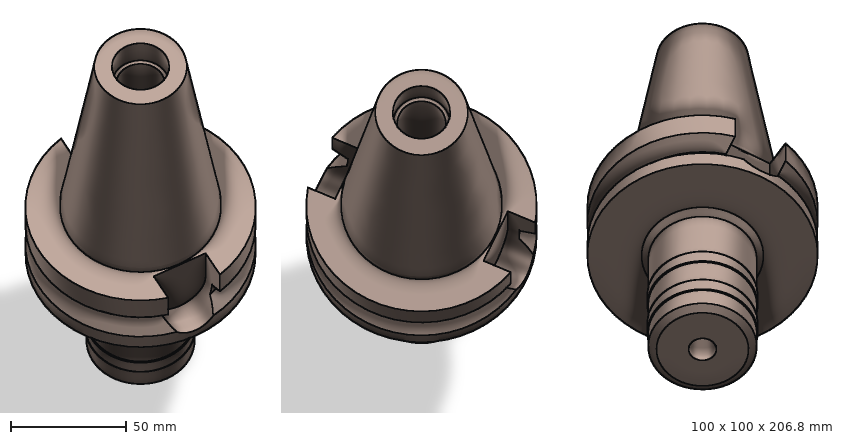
import cadquery as cq
import math

total_height = 206.8
flange_bottom = 67.0
flange_top = 102.0
gauge_height = 105.0

gauge_radius = 35.0
taper_ratio = 7 / 24
taper_top_radius = gauge_radius - (total_height - gauge_height) * taper_ratio / 2

flange_radius = 50.0
groove_radius = 42.8
groove_bottom = 79.0
groove_top = 85.2
groove_flank_height = (flange_radius - groove_radius) * math.tan(math.radians(30))

shank_radius = 23.5
neck_cone_size = 2.9
end_chamfer_height = 2.0
end_chamfer_width = end_chamfer_height / math.tan(math.radians(30))

band_radius = 24.0
band_height = 7.7
band_bottoms = (11.4, 31.5)
band_chamfer = band_radius - shank_radius

slot_width = 25.6
slot_floor = 35.4
slot_lowest = 71.1

counterbore_radius = 12.5
counterbore_depth = 12.8
pull_stud_radius = 10.5
pull_stud_depth = 62.0
through_radius = 6.0


def make_body():
    """Revolve the taper, flange and plain shank about Z."""
    return (
        cq.Workplane("XZ")
        .moveTo(0, 0)
        .lineTo(shank_radius - end_chamfer_width, 0)
        .lineTo(shank_radius, end_chamfer_height)
        .lineTo(shank_radius, flange_bottom - neck_cone_size)
        .lineTo(shank_radius + neck_cone_size, flange_bottom)
        .lineTo(flange_radius, flange_bottom)
        .lineTo(flange_radius, groove_bottom - groove_flank_height)
        .lineTo(groove_radius, groove_bottom)
        .lineTo(groove_radius, groove_top)
        .lineTo(flange_radius, groove_top + groove_flank_height)
        .lineTo(flange_radius, flange_top)
        .lineTo(gauge_radius, flange_top)
        .lineTo(gauge_radius, gauge_height)
        .lineTo(taper_top_radius, total_height)
        .lineTo(0, total_height)
        .close()
        .revolve(360, (0, 0), (0, 1))
    )


def make_band(bottom):
    """Raised shank band with chamfered rims."""
    return (
        cq.Workplane("XY", origin=(0, 0, bottom))
        .circle(band_radius)
        .extrude(band_height)
        .edges()
        .chamfer(band_chamfer)
    )


def make_slot(side):
    """Round-bottomed drive slot cutter, open at the flange top; side is +1 or -1."""
    half_width = slot_width / 2
    arc_center = slot_lowest + half_width
    return (
        cq.Workplane("YZ", origin=(side * slot_floor, 0, 0))
        .moveTo(-half_width, flange_top)
        .lineTo(-half_width, arc_center)
        .threePointArc((0, slot_lowest), (half_width, arc_center))
        .lineTo(half_width, flange_top)
        .close()
        .extrude(side * flange_radius)
    )


def make_bore(radius, depth):
    """Cylinder reaching down from the top face."""
    return cq.Workplane("XY", origin=(0, 0, total_height)).circle(radius).extrude(-depth)


result = make_body()

for band_bottom in band_bottoms:
    result = result.union(make_band(band_bottom))

for slot_side in (-1, 1):
    result = result.cut(make_slot(slot_side))

for bore_radius, bore_depth in (
    (counterbore_radius, counterbore_depth),
    (pull_stud_radius, pull_stud_depth),
    (through_radius, total_height),
):
    result = result.cut(make_bore(bore_radius, bore_depth))